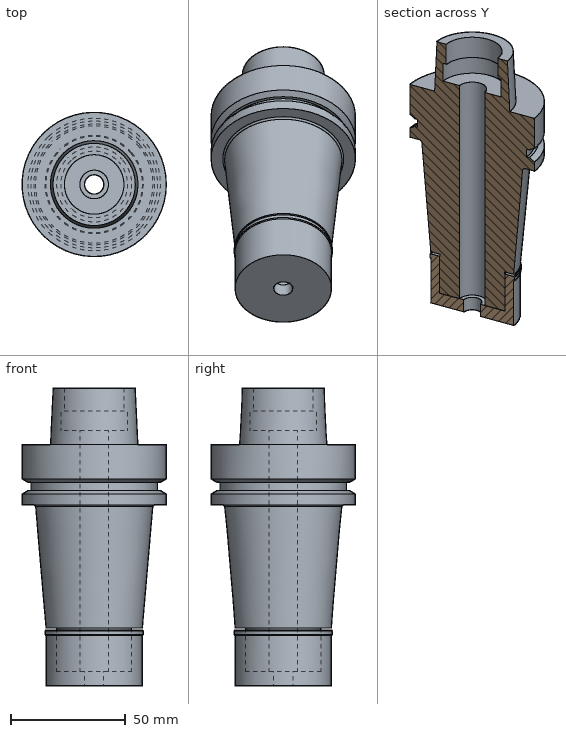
import cadquery as cq

total_height = 130.0

nut_radius = 21.0
nut_collar_radius = 21.5
nut_height = 24.5
nut_collar_height = 2.1
nut_collar_bevel = 0.4
nut_hole_radius = 4.2
nut_recess_depth = 18.2

nut_gap = 0.8
neck_radius = 16.4
body_bottom_radius = 21.0
body_top_radius = 25.6
body_bevel = 0.8
body_bore_radius = 6.2

flange_radius = 31.52
flange_bottom = 79.0
flange_top = 105.3
groove_radius = 27.7
groove_bottom = 85.3
groove_width = 3.5
groove_bevel_width = 2.6
groove_bevel_height = 1.5

shank_bottom_radius = 19.1
shank_top_radius = 18.0
socket_radius = 13.0
socket_mouth_depth = 10.0
socket_depth = 18.6
undercut_radius = 14.5

neck_end = nut_height - nut_recess_depth
body_bottom = nut_height + nut_gap


def turned(profile):
    """Revolve a closed (radius, height) outline about the Z axis."""
    return cq.Workplane("XZ").polyline(profile).close().revolve(360, (0, 0, 0), (0, 1, 0))


def make_nut():
    """Nut with a collar at its upper edge, a recess for the neck and a through hole."""
    collar_bottom = nut_height - nut_collar_height
    return turned([
        (nut_hole_radius, 0),
        (nut_radius, 0),
        (nut_radius, collar_bottom - nut_collar_bevel),
        (nut_collar_radius, collar_bottom),
        (nut_collar_radius, nut_height - nut_collar_bevel),
        (nut_collar_radius - nut_collar_bevel, nut_height),
        (neck_radius, nut_height),
        (neck_radius, neck_end),
        (nut_hole_radius, neck_end),
    ])


def make_holder():
    """Holder with neck, tapered body, grooved flange and hollow taper shank."""
    groove_top = groove_bottom + groove_width
    groove_edge_radius = flange_radius - groove_bevel_width
    socket_floor = total_height - socket_depth
    undercut_top = total_height - socket_mouth_depth
    outside = [
        (body_bore_radius, neck_end),
        (neck_radius, neck_end),
        (neck_radius, body_bottom),
        (body_bottom_radius, body_bottom),
        (body_top_radius, flange_bottom - body_bevel),
        (body_top_radius + body_bevel, flange_bottom),
        (flange_radius, flange_bottom),
        (flange_radius, groove_bottom - groove_bevel_height),
        (groove_edge_radius, groove_bottom),
        (groove_radius, groove_bottom),
        (groove_radius, groove_top),
        (groove_edge_radius, groove_top),
        (flange_radius, groove_top + groove_bevel_height),
        (flange_radius, flange_top),
        (shank_bottom_radius, flange_top),
        (shank_top_radius, total_height),
    ]
    inside = [
        (socket_radius, total_height),
        (socket_radius, undercut_top),
        (undercut_radius, undercut_top),
        (undercut_radius, socket_floor),
        (body_bore_radius, socket_floor),
    ]
    return turned(outside + inside)


nut = make_nut()
holder = make_holder()

result = cq.Compound.makeCompound([nut.val(), holder.val()])